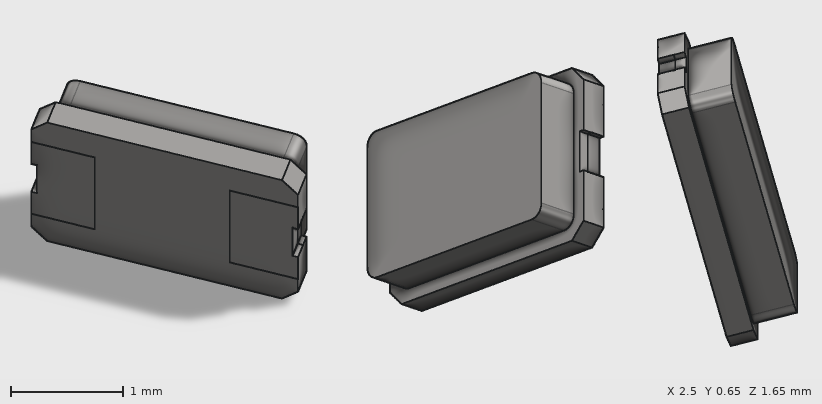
import cadquery as cq

length = 2.5
height = 1.65
base_depth = 0.25
corner_chamfer = 0.15

total_depth = 0.65
cover_inset = 0.125
cover_corner_radius = 0.125

notch_depth = 0.05
notch_height = 0.385

metal_thickness = 0.002
pad_height = 1.0
left_pad_length = 0.595
right_pad_length = 0.64
lining_reach = 0.15


def end_block(side, x_inset, x_length, depth, block_height):
    """Block from Y = 0 to depth, starting x_inset inside the end on the given side (-1 or +1)."""
    x_center = side * (length / 2 - x_inset - x_length / 2)
    return (
        cq.Workplane("XY")
        .box(x_length, depth, block_height)
        .translate((x_center, depth / 2, 0))
    )


def make_terminal(side, pad_length):
    """Pad and notch lining of one end as a single solid."""
    pad = end_block(side, 0, pad_length, metal_thickness, pad_height)
    lining = end_block(
        side, 0, notch_depth + metal_thickness, lining_reach, notch_height + 2 * metal_thickness
    )
    notch = end_block(side, 0, notch_depth, base_depth, notch_height)
    return pad.union(lining).cut(notch)


def make_housing(terminals):
    """Base and cover, notched at both ends and recessed for the terminals."""
    base = (
        cq.Workplane("XY")
        .box(length, base_depth, height)
        .edges("|Y")
        .chamfer(corner_chamfer)
        .translate((0, base_depth / 2, 0))
    )
    cover_depth = total_depth - base_depth
    cover = (
        cq.Workplane("XY")
        .box(length - 2 * cover_inset, cover_depth, height - 2 * cover_inset)
        .edges("|Y")
        .fillet(cover_corner_radius)
        .translate((0, base_depth + cover_depth / 2, 0))
    )
    housing = base.union(cover)
    for side in (-1, 1):
        housing = housing.cut(end_block(side, 0, notch_depth, base_depth, notch_height))
    for terminal in terminals:
        housing = housing.cut(terminal)
    return housing


terminals = [
    make_terminal(side, pad_length)
    for side, pad_length in ((-1, left_pad_length), (1, right_pad_length))
]
housing = make_housing(terminals)

result = cq.Compound.makeCompound([housing.val(), *[terminal.val() for terminal in terminals]])